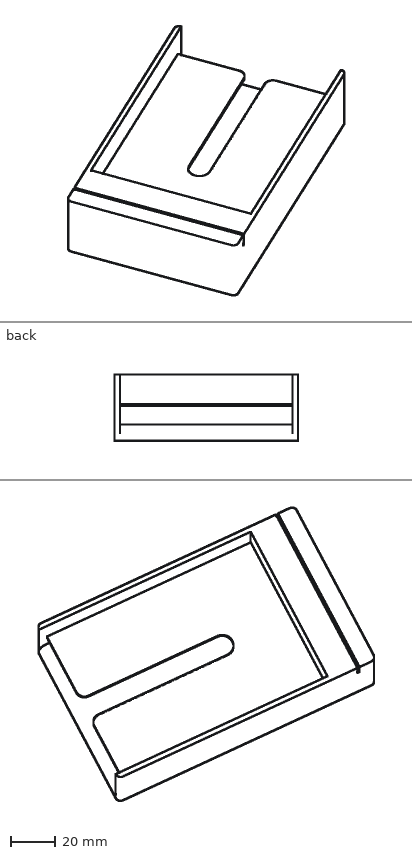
import cadquery as cq

length = 130.0
width = 83.0
height = 30.0
wall = 2.5
corner_radius = wall

tray_depth = 13.3
shelf_thickness = 1.0
base_thickness = 7.5
inside_front_wall = 23.3
back_round = 4.0

slot_width = 10.1
slot_length = 74.1
slot_mouth_radius = 4.0

groove_width = 1.0
groove_depth = 6.1
groove_front_offset = 8.3

front_y = -length / 2
back_y = length / 2
inside_width = width - 2 * wall
inside_front_y = front_y + inside_front_wall
shelf_back_y = back_y - back_round
shelf_top_z = height - tray_depth
shelf_bottom_z = shelf_top_z - shelf_thickness


def make_block():
    block = cq.Workplane("XY").box(width, length, height, centered=(True, True, False))
    return block.edges("|Z").fillet(corner_radius)


def make_inside_cut():
    """Whole space between the side walls; the base's back top edge is rounded."""
    return (
        cq.Workplane("YZ", origin=(-inside_width / 2, 0, 0))
        .moveTo(inside_front_y, height)
        .lineTo(inside_front_y, base_thickness)
        .lineTo(shelf_back_y, base_thickness)
        .radiusArc((back_y, base_thickness - back_round), back_round)
        .lineTo(back_y, height)
        .close()
        .extrude(inside_width)
    )


def make_slot_cut():
    """Slot with a round inner end and a mouth that flares out in two arcs."""
    half_width = slot_width / 2
    mouth_half_width = half_width + slot_mouth_radius
    mouth_start_y = shelf_back_y - slot_mouth_radius
    slot_end_y = shelf_back_y - slot_length
    return (
        cq.Workplane("XY", origin=(0, 0, shelf_bottom_z))
        .moveTo(-mouth_half_width, shelf_back_y)
        .radiusArc((-half_width, mouth_start_y), slot_mouth_radius)
        .lineTo(-half_width, slot_end_y + half_width)
        .threePointArc((0, slot_end_y), (half_width, slot_end_y + half_width))
        .lineTo(half_width, mouth_start_y)
        .radiusArc((mouth_half_width, shelf_back_y), slot_mouth_radius)
        .close()
        .extrude(shelf_thickness)
    )


def make_shelf():
    shelf_length = shelf_back_y - inside_front_y
    shelf = (
        cq.Workplane("XY", origin=(0, inside_front_y, shelf_bottom_z))
        .box(inside_width, shelf_length, shelf_thickness, centered=(True, False, False))
    )
    return shelf.cut(make_slot_cut())


def make_groove_cut():
    return (
        cq.Workplane("XY", origin=(0, front_y + groove_front_offset, height - groove_depth))
        .box(width, groove_width, groove_depth, centered=(True, False, False))
    )


result = make_block().cut(make_inside_cut()).union(make_shelf()).cut(make_groove_cut())